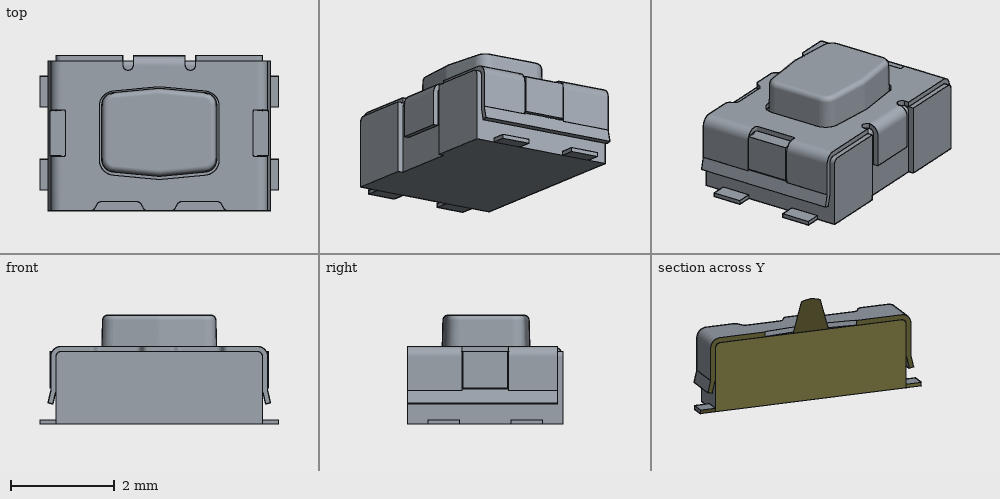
import cadquery as cq
import math

housing_length = 3.98
housing_width = 3.0
housing_height = 1.4
housing_edge_radius = 0.1

sheet = 0.1
bend_radius = housing_edge_radius + sheet

total_height = 2.1
total_length = 4.6

recess_depth = 0.107
tab_half_width = 0.5
relief_width = 0.2
relief_centre_y = 1.31
notch_half_width = tab_half_width + relief_width

window_half_width = 0.45
window_top_reach = 1.81
window_corner_radius = 0.03
skirt_top = 0.65
skirt_length = 0.272
skirt_angle = 13.5
skirt_inset = 0.004

lug_gap = 0.017
lug_overhang = 0.115
lug_bottom = 0.7

front_notch_centre = 0.775
front_notch_half_width = 0.5
front_notch_depth = 0.18
front_notch_slope = 60.0
front_notch_radius = 0.1

button_half_length = 1.11
button_half_width = 0.85
button_crown_slope = 5.4
button_corner_radius = 0.25
button_crown_radius = 0.3
button_draft = 1.5
button_top_radius = 0.1
button_offset_y = 0.015
opening_gap = 0.045

terminal_width = 0.6
terminal_thickness = 0.08
terminal_spacing = 1.6

half_length = housing_length / 2
half_width = housing_width / 2
cover_top = housing_height + sheet
cover_half_length = half_length + sheet
cover_back = half_width - recess_depth
tab_bend_y = cover_back - housing_edge_radius
tab_bend_z = housing_height - housing_edge_radius


def block(x_range, y_range, z_range):
    """Axis-aligned box given by its limits along each axis."""
    size = [high - low for low, high in (x_range, y_range, z_range)]
    return cq.Workplane("XY").box(*size, centered=False).translate((x_range[0], y_range[0], z_range[0]))


def both_ends(shape):
    """The shape on the +X end together with its mirror image on the -X end."""
    return [shape, shape.mirror("YZ")]


def make_housing():
    body = block((-half_length, half_length), (-half_width, half_width), (0, housing_height))
    body = body.edges("|Y and >Z").fillet(housing_edge_radius)

    recess = block((-notch_half_width, notch_half_width), (cover_back, half_width), (0, housing_height))
    body = body.cut(recess)
    recess_edge = cq.selectors.NearestToPointSelector((0, cover_back, housing_height))
    body = body.edges(recess_edge).fillet(housing_edge_radius)

    lug_half_width = window_half_width - lug_gap
    lug = block(
        (half_length - housing_edge_radius, half_length + lug_overhang),
        (-lug_half_width, lug_half_width),
        (lug_bottom, housing_height),
    )
    for end_lug in both_ends(lug):
        body = body.union(end_lug)
    return body


def make_bent_plate():
    """Top plate with two straight side walls, bent around the housing."""
    outer = block((-cover_half_length, cover_half_length), (-half_width, cover_back), (skirt_top, cover_top))
    outer = outer.edges("|Y and >Z").fillet(bend_radius)
    inner = block((-half_length, half_length), (-half_width, cover_back), (skirt_top, housing_height))
    inner = inner.edges("|Y and >Z").fillet(housing_edge_radius)
    return outer.cut(inner)


def make_skirt():
    """Flared strip below the +X side wall, trimmed clear of the housing."""
    strip = block((0, sheet), (-half_width, cover_back), (-skirt_length, 0))
    strip = strip.rotate((0, 0, 0), (0, 1, 0), -skirt_angle)
    strip = strip.translate((half_length - skirt_inset, 0, skirt_top))
    housing_side = block((0, half_length), (-half_width, half_width), (0, housing_height))
    return strip.cut(housing_side)


def make_window():
    """Cutter for the opening that runs over the +X bend down to the skirt."""
    window = block(
        (window_top_reach, cover_half_length + sheet),
        (-window_half_width, window_half_width),
        (skirt_top, cover_top),
    )
    return window.edges("|Z and <X").fillet(window_corner_radius)


def make_tab():
    """Tab at the back, bent down into the housing's recess."""
    tab_back = cover_back + sheet
    outer_mid = bend_radius * math.sqrt(0.5)
    inner_mid = housing_edge_radius * math.sqrt(0.5)
    profile = (
        cq.Workplane("YZ")
        .moveTo(tab_bend_y, cover_top)
        .threePointArc((tab_bend_y + outer_mid, tab_bend_z + outer_mid), (tab_back, tab_bend_z))
        .lineTo(tab_back, skirt_top)
        .lineTo(cover_back, skirt_top)
        .lineTo(cover_back, tab_bend_z)
        .threePointArc((tab_bend_y + inner_mid, tab_bend_z + inner_mid), (tab_bend_y, housing_height))
        .close()
    )
    return profile.extrude(tab_half_width, both=True)


def make_tab_clearance():
    """Room cut from the top plate's back edge: the tab's place and two round-ended reliefs."""
    clearance = block(
        (-notch_half_width, notch_half_width),
        (tab_bend_y, cover_back),
        (housing_height, cover_top),
    )
    relief_x = tab_half_width + relief_width / 2
    reliefs = (
        cq.Workplane("XY")
        .workplane(offset=housing_height)
        .pushPoints([(-relief_x, relief_centre_y), (relief_x, relief_centre_y)])
        .circle(relief_width / 2)
        .extrude(sheet)
    )
    return clearance.union(reliefs)


def cut_front_notch(cover, centre_x):
    """Trapezoidal notch in the front edge with all four corners rounded."""
    run = front_notch_depth / math.tan(math.radians(front_notch_slope))
    inner_half_width = front_notch_half_width - run
    inner_y = -half_width + front_notch_depth
    corners = [
        (centre_x - front_notch_half_width, -half_width),
        (centre_x - inner_half_width, inner_y),
        (centre_x + inner_half_width, inner_y),
        (centre_x + front_notch_half_width, -half_width),
    ]
    notch = cq.Workplane("XY").workplane(offset=housing_height).polyline(corners).close().extrude(sheet)
    cover = cover.cut(notch)
    for x, y in corners:
        corner = cq.selectors.NearestToPointSelector((x, y, housing_height + sheet / 2))
        cover = cover.edges("|Z").edges(corner).fillet(front_notch_radius)
    return cover


def make_cover():
    cover = make_bent_plate()
    for window in both_ends(make_window()):
        cover = cover.cut(window)
    for skirt in both_ends(make_skirt()):
        cover = cover.union(skirt)
    cover = cover.cut(make_tab_clearance()).union(make_tab())

    opening = button_outline().offset2D(opening_gap).extrude(sheet)
    cover = cover.cut(opening)

    for centre_x in (-front_notch_centre, front_notch_centre):
        cover = cut_front_notch(cover, centre_x)
    return cover


def button_outline():
    """Six-sided outline at the housing's top, with crowned long sides and rounded corners."""
    corner_y = button_half_width - button_half_length * math.tan(math.radians(button_crown_slope))
    points = [
        (-button_half_length, -corner_y),
        (0, -button_half_width),
        (button_half_length, -corner_y),
        (button_half_length, corner_y),
        (0, button_half_width),
        (-button_half_length, corner_y),
    ]
    wire = cq.Workplane("XY").polyline(points).close().val()
    crowns = [v for v in wire.Vertices() if abs(v.X) < button_half_length / 2]
    wire = wire.fillet2D(button_crown_radius, crowns)
    corners = [v for v in wire.Vertices() if abs(v.X) > button_half_length / 2]
    wire = wire.fillet2D(button_corner_radius, corners)
    wire = wire.translate((0, 0, housing_height))
    return cq.Workplane("XY").workplane(offset=housing_height).newObject([wire]).toPending()


def make_button():
    button = button_outline().extrude(total_height - housing_height, taper=button_draft)
    button = button.faces(">Z").edges().fillet(button_top_radius)
    return button.translate((0, button_offset_y, 0))


def make_terminal(side, centre_y):
    """Flat solder terminal on the -X end (side -1) or the +X end (side 1)."""
    x_range = sorted((side * half_length, side * total_length / 2))
    y_range = (centre_y - terminal_width / 2, centre_y + terminal_width / 2)
    return block(x_range, y_range, (0, terminal_thickness))


housing = make_housing()
cover = make_cover()
button = make_button()
terminals = [
    make_terminal(side, row * terminal_spacing / 2).val()
    for side in (-1, 1)
    for row in (-1, 1)
]

result = cq.Compound.makeCompound([housing.val(), cover.val(), button.val(), *terminals])